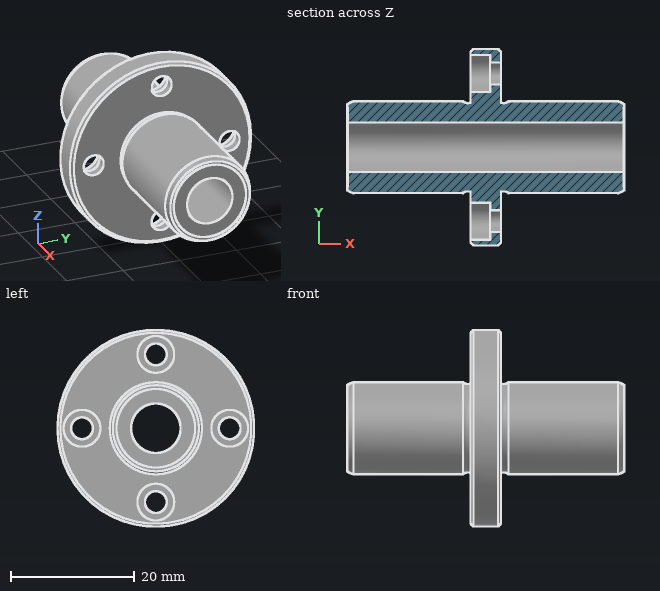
import cadquery as cq

length = 45.0
barrel_dia = 15.0
bore_dia = 8.0
end_rounding_length = 1.0
end_rounding_radius = 3.0
end_face_dia = 14.0

recess_dia = 12.8
recess_depth = 0.1

flange_dia = 32.0
flange_thickness = 5.0
flange_chamfer = 0.5

groove_width = 1.2
groove_radius = 1.25
groove_foot_depth = 0.22

hole_count = 4
hole_circle_dia = 24.0
hole_dia = 3.5
counterbore_dia = 6.0
counterbore_depth = 3.2

middle = length / 2
barrel_radius = barrel_dia / 2
flange_start = middle - flange_thickness / 2
groove_start = flange_start - groove_width
flange_radius = flange_dia / 2


def half_body():
    """Solid of revolution from X = 0 to mid-length, without bore or holes."""
    end_edge = (0, end_face_dia / 2)
    rounding_end = (end_rounding_length, barrel_radius)
    groove_edge = (groove_start, barrel_radius)
    groove_foot = (flange_start, barrel_radius - groove_foot_depth)
    return (
        cq.Workplane("XY")
        .lineTo(*end_edge)
        .radiusArc(rounding_end, end_rounding_radius)
        .lineTo(*groove_edge)
        .radiusArc(groove_foot, -groove_radius)
        .lineTo(flange_start, flange_radius - flange_chamfer)
        .lineTo(flange_start + flange_chamfer, flange_radius)
        .lineTo(middle, flange_radius)
        .lineTo(middle, 0)
        .close()
        .revolve(360, (0, 0, 0), (1, 0, 0))
    )


def cylinder_along_x(diameter, start, depth):
    return cq.Workplane("YZ", origin=(start, 0, 0)).circle(diameter / 2).extrude(depth)


def mounting_hole():
    """Through hole with its counterbore opening on the -X face of the flange."""
    through = cylinder_along_x(hole_dia, flange_start, flange_thickness)
    counterbore = cylinder_along_x(counterbore_dia, flange_start, counterbore_depth)
    return through.union(counterbore).translate((0, 0, hole_circle_dia / 2))


near_half = half_body()
result = near_half.union(near_half.mirror("YZ", (middle, 0, 0)))

result = result.cut(cylinder_along_x(bore_dia, 0, length))
for recess_start in (0, length - recess_depth):
    result = result.cut(cylinder_along_x(recess_dia, recess_start, recess_depth))

for index in range(hole_count):
    angle = index * 360 / hole_count
    result = result.cut(mounting_hole().rotate((0, 0, 0), (1, 0, 0), angle))